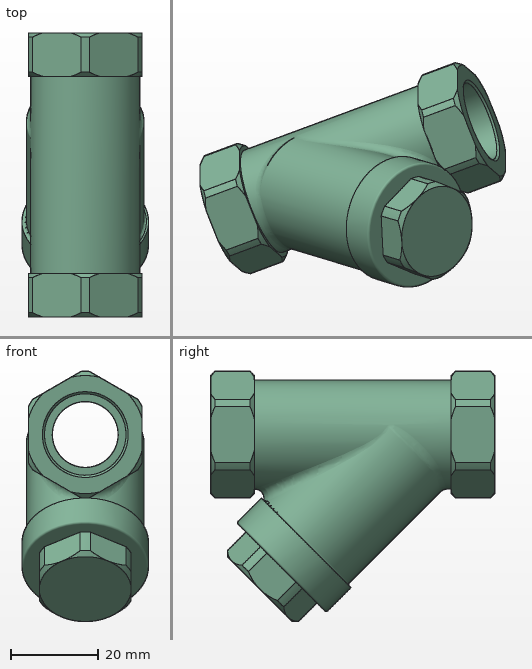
import cadquery as cq
import math

overall_length = 65.0
pipe_diameter = 25.0
bore_diameter = 15.0

socket_diameter = 18.63
socket_depth = 12.0
socket_chamfer = 0.5

end_hex_flats = 26.0
end_hex_corners = 29.0
end_hex_length = 10.0
hex_chamfer = 1.0

branch_angle = 45.0
branch_axis_y = 14.1
branch_diameter = 27.0
branch_start = 2.0
branch_rim_fillet = 1.0
branch_fillet = 2.0

collar_diameter = 29.0
collar_start = 35.0
collar_end = 43.0
collar_edge_fillet = 0.5
collar_step_fillet = 0.5
cap_hex_flats = 21.0
cap_hex_corners = 23.0
cap_end = 50.0

tolerance = 1e-3


def y_plane(y):
    """Plane normal to the pipe, facing +Y, with its local X axis along +Z."""
    return cq.Plane(origin=(0, y, 0), xDir=(0, 0, 1), normal=(0, 1, 0))


def branch_plane(station):
    """Plane normal to the branch axis, facing outwards, with its local X axis in the YZ plane."""
    along_y = -math.cos(math.radians(branch_angle))
    along_z = -math.sin(math.radians(branch_angle))
    origin = (0, branch_axis_y + station * along_y, station * along_z)
    return cq.Plane(origin=origin, xDir=(0, -along_z, along_y), normal=(0, along_y, along_z))


def hexagon(plane, flats, corners, length, chamfered_faces):
    """Hexagonal prism with flats facing +X and -X and its corners turned down to a chamfered round.

    chamfered_faces names the ends to chamfer: "near" lies on the plane, "far" at the full length.
    """
    sharp_corners = flats / math.cos(math.pi / 6)
    prism = (
        cq.Workplane(plane)
        .polygon(6, sharp_corners)
        .extrude(length)
    )
    turned = cq.Workplane(plane).circle(corners / 2).extrude(length)
    for face in chamfered_faces:
        end_face = cq.DirectionMinMaxSelector(plane.zDir, face == "far")
        turned = turned.faces(end_face).chamfer(hex_chamfer)
    return prism.intersect(turned)


def is_pipe_branch_seam(edge):
    """True for a curve that lies on the pipe surface without being a straight line or an end circle."""
    sample_points = edge.positions([0, 0.3, 0.7, 1])
    on_pipe = all(abs(math.hypot(p.x, p.z) - pipe_diameter / 2) < tolerance for p in sample_points)
    return on_pipe and edge.geomType() != "LINE" and edge.BoundingBox().ylen > tolerance


def pipe_with_branch():
    """Pipe and round-rimmed branch cylinder, filleted along their intersection."""
    pipe_length = overall_length - end_hex_length
    pipe = cq.Workplane(y_plane(-pipe_length / 2)).circle(pipe_diameter / 2).extrude(pipe_length)
    branch = (
        cq.Workplane(branch_plane(branch_start))
        .circle(branch_diameter / 2)
        .extrude(collar_end - branch_start)
        .faces(cq.DirectionMinMaxSelector(branch_plane(0).zDir, False))
        .fillet(branch_rim_fillet)
    )
    joined = pipe.union(branch)
    return joined.edges().filter(is_pipe_branch_seam).fillet(branch_fillet)


def collar():
    """Ring around the branch end, with a concave fillet at its step and a rounded outer edge."""
    branch_radius = branch_diameter / 2
    collar_radius = collar_diameter / 2
    base = branch_plane(collar_start)
    turning_plane = cq.Plane(origin=base.origin, xDir=base.xDir, normal=base.xDir.cross(base.zDir))
    collar_length = collar_end - collar_start
    return (
        cq.Workplane(turning_plane)
        .moveTo(0, -collar_step_fillet)
        .lineTo(branch_radius, -collar_step_fillet)
        .radiusArc((branch_radius + collar_step_fillet, 0), collar_step_fillet)
        .lineTo(collar_radius, 0)
        .lineTo(collar_radius, collar_length - collar_edge_fillet)
        .radiusArc((collar_radius - collar_edge_fillet, collar_length), -collar_edge_fillet)
        .lineTo(0, collar_length)
        .close()
        .revolve(360, (0, 0), (0, 1))
    )


def flow_passage():
    """Through bore with a chamfered socket at each end."""
    half_length = overall_length / 2
    passage = cq.Workplane(y_plane(-half_length)).circle(bore_diameter / 2).extrude(overall_length)
    mouth_radius = socket_diameter / 2 + socket_chamfer
    socket_profile = [
        (0, half_length),
        (mouth_radius, half_length),
        (socket_diameter / 2, half_length - socket_chamfer),
        (socket_diameter / 2, half_length - socket_depth),
        (0, half_length - socket_depth),
    ]
    socket = cq.Workplane("XY").polyline(socket_profile).close().revolve(360, (0, 0), (0, 1))
    return passage.union(socket).union(socket.mirror("XZ"))


body = pipe_with_branch()
for end_y in (-overall_length / 2, overall_length / 2 - end_hex_length):
    body = body.union(
        hexagon(y_plane(end_y), end_hex_flats, end_hex_corners, end_hex_length, ("near", "far"))
    )
cap_hex = hexagon(
    branch_plane(collar_end), cap_hex_flats, cap_hex_corners, cap_end - collar_end, ("far",)
)
result = body.union(collar()).union(cap_hex).cut(flow_passage())